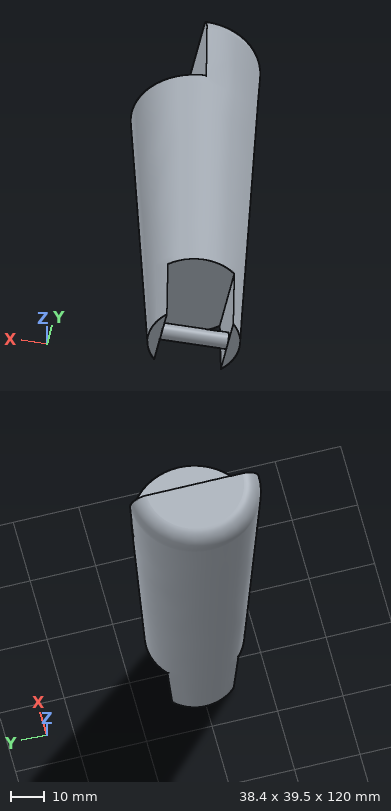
import cadquery as cq

height = 120.0
bottom_diameter = 27.5
top_diameter = 40.0
rim_fillet = 5.0

step_height = 95.0

slot_width = 20.0
slot_height = 20.0

pin_diameter = 5.0
pin_center_height = pin_diameter / 2

cut_span = 1.5 * top_diameter


def make_body():
    """Solid cone frustum with a rounded top rim."""
    cone = cq.Solid.makeCone(bottom_diameter / 2, top_diameter / 2, height)
    return cq.Workplane(cone).faces(">Z").edges().fillet(rim_fillet)


def make_step_cut():
    """Block over the +X half, from the step up to the top."""
    return cq.Workplane("XY", origin=(0, 0, step_height)).box(
        cut_span, cut_span, height - step_height, centered=(False, True, False)
    )


def make_slot_cut():
    """Slot open at the bottom and running through along Y."""
    return cq.Workplane("XY").rect(slot_width, cut_span).extrude(slot_height)


def make_pin():
    """Pin spanning the slot along X."""
    return (
        cq.Workplane("YZ", origin=(-slot_width / 2, 0, pin_center_height))
        .circle(pin_diameter / 2)
        .extrude(slot_width)
    )


result = make_body().cut(make_step_cut()).cut(make_slot_cut()).union(make_pin())